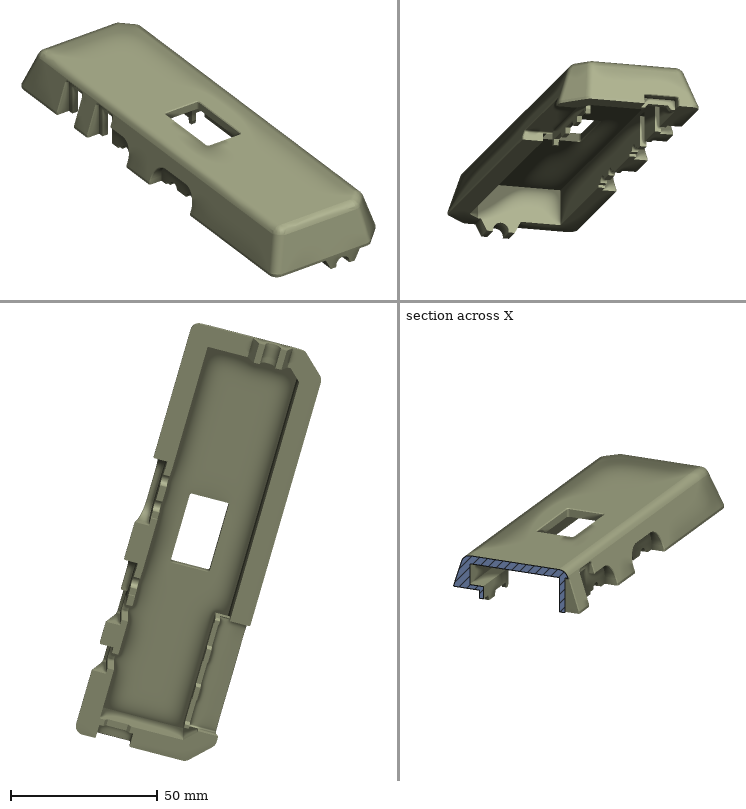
import cadquery as cq
import math

LENGTH = 154.0
WIDTH = 48.0
HEIGHT = 15.5
RIM_HEIGHT = 1.0
DRAFT_ANGLE = 18.0
BACK_CHAMFER = 8.3
SIDE_EDGE_RADIUS = 3.1
TOP_EDGE_RADIUS = 3.4

WALL = 7.2
ROOF = 3.1
LEAD_IN = 0.3
POCKET_DEPTH = 5.0
WINDOW_SIZE = (25.9, 13.9)
WINDOW_CENTER = (LENGTH / 2, 23.5)
WINDOW_CORNER_RADIUS = 0.8
TOUCH = 0.002

TALL_POCKET_CENTERS = (28.3, 46.5)
TALL_POCKET_SIZE = (9.9, 12.6)
TALL_POCKET_CORNER_RADIUS = 1.0
DOOR_SIZE = (5.7, 10.8)
SIDE_ARCH_CENTER = 54.2
SIDE_ARCH_WIDTH = 21.3
SIDE_ARCH_RADIUS = 5.7
MAIN_ARCH_CENTER = 91.0
MAIN_ARCH_WIDTH = 24.0
MAIN_ARCH_RADIUS = 6.2
ARCH_HEIGHT = 8.3
WIRE_RADIUS = 2.0
WIRE_RELIEF_HEIGHT = 1.0
WIRE_RELIEF_MARGIN = 4.5
MAIN_WIRE_PITCH = 9.5
SIDE_WIRE_X = 57.5

LOW_POCKET_HEIGHT = 3.4
LOW_POCKET_CORNER_RADIUS = 0.6
END_POCKET_CENTER = 13.7
END_POCKET_WIDTH = 12.0
END_SLOT_BASE = 9.2
END_SLOT_TOP = 7.1
END_SLOT_HEIGHT = 1.4

COMB_CENTER = 32.3
COMB_LENGTH = 41.3
COMB_DEPTH = 10.6
COMB_THICKNESS = 1.7
COMB_TOP = 5.1
COMB_DROP = 1.5
COMB_END_TAPER = 0.5
GAP_PITCH = 14.2
GAP_BASE = 9.5
GAP_TOP = 8.3
GAP_TOP_HEIGHT = 0.5

CRADLE_LENGTH = 7.2
CRADLE_CENTER = 28.5
CRADLE_TOP_WIDTH = 14.2
CRADLE_BOTTOM_WIDTH = 9.9
CRADLE_DROP = 4.2
SADDLE_RADIUS = 2.8
SADDLE_DEPTH = 3.2


def cut_corner_outline(inset):
    """Plan outline moved inward by inset, with both +Y corners cut at 45 degrees."""
    leg = BACK_CHAMFER - inset * (2 - math.sqrt(2))
    low_x, high_x = inset, LENGTH - inset
    low_y, high_y = inset, WIDTH - inset
    return cq.Workplane("XY").polyline([
        (low_x, low_y),
        (high_x, low_y),
        (high_x, high_y - leg),
        (high_x - leg, high_y),
        (low_x + leg, high_y),
        (low_x, high_y - leg),
    ]).close()


def box(x_range, y_range, z_range):
    """Box spanning the given ranges."""
    size = [r[1] - r[0] for r in (x_range, y_range, z_range)]
    return cq.Workplane("XY").box(*size, centered=False).translate((x_range[0], y_range[0], z_range[0]))


def trapezoid(center, base_width, base_z, top_width, top_z, plane):
    """Closed symmetric trapezoid on an upright plane."""
    return cq.Workplane(plane).polyline([
        (center - base_width / 2, base_z),
        (center + base_width / 2, base_z),
        (center + top_width / 2, top_z),
        (center - top_width / 2, top_z),
    ]).close()


def arch(center, width, height, radius, plane):
    """Closed opening outline standing on the rim plane, with its two top corners rounded."""
    low, high = center - width / 2, center + width / 2
    chord = radius * (1 - math.sqrt(0.5))
    return (
        cq.Workplane(plane)
        .moveTo(low, 0)
        .lineTo(low, height - radius)
        .threePointArc((low + chord, height - chord), (low + radius, height))
        .lineTo(high - radius, height)
        .threePointArc((high - chord, height - chord), (high, height - radius))
        .lineTo(high, 0)
        .close()
    )


def outer_body():
    """Solid body: straight rim, sloped sides, rounded side and top edges."""
    inset = (HEIGHT - RIM_HEIGHT) * math.tan(math.radians(DRAFT_ANGLE))
    slope_base = cut_corner_outline(0).wire().val().translate(cq.Vector(0, 0, RIM_HEIGHT))
    slope_top = cut_corner_outline(inset).wire().val().translate(cq.Vector(0, 0, HEIGHT))
    slopes = cq.Workplane(cq.Solid.makeLoft([slope_base, slope_top], True))
    body = cut_corner_outline(0).extrude(RIM_HEIGHT).union(slopes)
    body = body.edges("not(#Z)").fillet(SIDE_EDGE_RADIUS)
    return body.faces(">Z").edges().fillet(TOP_EDGE_RADIUS)


def comb_y_range():
    """Y range of the comb wall."""
    outer = WIDTH - COMB_DEPTH
    return outer - COMB_THICKNESS, outer


def cavity():
    """Vertical-sided hollow under the roof, leaving the ledge that carries the comb."""
    ledge = box(
        (COMB_CENTER - COMB_LENGTH / 2, COMB_CENTER + COMB_LENGTH / 2),
        (comb_y_range()[0], WIDTH),
        (0, COMB_TOP),
    )
    return cut_corner_outline(WALL).extrude(HEIGHT - ROOF).cut(ledge)


def window():
    """Rounded rectangular opening through the roof."""
    return (
        cq.Workplane("XY")
        .center(*WINDOW_CENTER)
        .rect(*WINDOW_SIZE)
        .extrude(HEIGHT)
        .edges("|Z")
        .fillet(WINDOW_CORNER_RADIUS)
    )


def front_pockets():
    """Outer pockets of the -Y side: two tall ones and two wide arches."""
    outlines = [
        arch(SIDE_ARCH_CENTER, SIDE_ARCH_WIDTH, ARCH_HEIGHT, SIDE_ARCH_RADIUS, "XZ"),
        arch(MAIN_ARCH_CENTER, MAIN_ARCH_WIDTH, ARCH_HEIGHT, MAIN_ARCH_RADIUS, "XZ"),
    ]
    for x in TALL_POCKET_CENTERS:
        outlines.append(arch(x, *TALL_POCKET_SIZE, TALL_POCKET_CORNER_RADIUS, "XZ"))
    pockets = cq.Workplane("XY")
    for outline in outlines:
        pockets = pockets.union(outline.extrude(-POCKET_DEPTH))
    return pockets


def doors():
    """Doors through the inner wall at the back of the tall pockets."""
    width, height = DOOR_SIZE
    cutter = cq.Workplane("XY")
    for x in TALL_POCKET_CENTERS:
        cutter = cutter.union(box((x - width / 2, x + width / 2), (0, WALL), (0, height)))
    return cutter


def wire_holes(hole_centers):
    """Half-round holes through the front inner wall, rising from one shallow relief."""
    relief_x = (hole_centers[0] - WIRE_RELIEF_MARGIN, hole_centers[-1] + WIRE_RELIEF_MARGIN)
    cutter = box(relief_x, (0, WALL), (0, WIRE_RELIEF_HEIGHT))
    for x in hole_centers:
        hole = cq.Workplane("XZ").center(x, WIRE_RELIEF_HEIGHT).circle(WIRE_RADIUS).extrude(-WALL)
        cutter = cutter.union(hole)
    return cutter


def end_pocket():
    """Low pocket in the -X side."""
    pocket = arch(END_POCKET_CENTER, END_POCKET_WIDTH, LOW_POCKET_HEIGHT, LOW_POCKET_CORNER_RADIUS, "YZ")
    return pocket.extrude(POCKET_DEPTH)


def end_slot():
    """Trapezoid slot through the inner wall behind the end pocket."""
    return trapezoid(END_POCKET_CENTER, END_SLOT_BASE, 0, END_SLOT_TOP, END_SLOT_HEIGHT, "YZ").extrude(WALL)


def back_pocket():
    """Low pocket in the +Y side, reaching in to the comb."""
    pocket = arch(COMB_CENTER, COMB_LENGTH, LOW_POCKET_HEIGHT, LOW_POCKET_CORNER_RADIUS, "XZ")
    return pocket.extrude(COMB_DEPTH).translate((0, WIDTH, 0))


def comb_teeth():
    """Lower edge of the comb hanging below the rim."""
    bottom_length = COMB_LENGTH - 2 * COMB_END_TAPER
    strip = trapezoid(COMB_CENTER, bottom_length, -COMB_DROP, COMB_LENGTH, 0, "XZ")
    return strip.extrude(-COMB_THICKNESS).translate((0, comb_y_range()[0], 0))


def comb_gaps():
    """Three trapezoid gaps between the comb teeth."""
    gaps = cq.Workplane("XY")
    for step in (-1, 0, 1):
        center = COMB_CENTER + step * GAP_PITCH
        gap = trapezoid(center, GAP_BASE, -COMB_DROP, GAP_TOP, GAP_TOP_HEIGHT, "XZ")
        gaps = gaps.union(gap.extrude(-COMB_THICKNESS))
    return gaps.translate((0, comb_y_range()[0], 0))


def cradle():
    """Tapered block under the +X end with a round saddle across it."""
    block = trapezoid(CRADLE_CENTER, CRADLE_BOTTOM_WIDTH, -CRADLE_DROP, CRADLE_TOP_WIDTH, 0, "YZ")
    saddle_z = SADDLE_DEPTH - SADDLE_RADIUS - CRADLE_DROP
    saddle = cq.Workplane("YZ").center(CRADLE_CENTER, saddle_z).circle(SADDLE_RADIUS).extrude(CRADLE_LENGTH)
    return block.extrude(CRADLE_LENGTH).cut(saddle).translate((LENGTH - CRADLE_LENGTH, 0, 0))


def lies_on_surface(point, shape):
    """True if a point lies on the outer surface of a shape."""
    return shape.shells().distance(point) < TOUCH


def cut_with_lead_in(body, recess):
    """Cut a recess and chamfer the edges of its mouth on the outer skin, above the underside."""
    skin = body.val()
    walls = recess.val()
    opened = body.cut(recess)
    mouth = []
    for edge in opened.edges().vals():
        middle = cq.Vertex.makeVertex(*edge.positionAt(0.5).toTuple())
        above_underside = middle.Z > TOUCH
        if above_underside and lies_on_surface(middle, walls) and lies_on_surface(middle, skin):
            mouth.append(edge)
    return opened.newObject(mouth).chamfer(LEAD_IN)


main_wires = (MAIN_ARCH_CENTER - MAIN_WIRE_PITCH / 2, MAIN_ARCH_CENTER + MAIN_WIRE_PITCH / 2)

shell = outer_body()
for recess in (window(), front_pockets(), end_pocket(), back_pocket()):
    shell = cut_with_lead_in(shell, recess)

cover = (
    shell
    .cut(cavity())
    .cut(doors())
    .cut(wire_holes(main_wires))
    .cut(wire_holes((SIDE_WIRE_X,)))
    .cut(end_slot())
    .union(comb_teeth())
    .cut(comb_gaps())
    .union(cradle())
)
result = cq.Workplane(cover.solids().val())